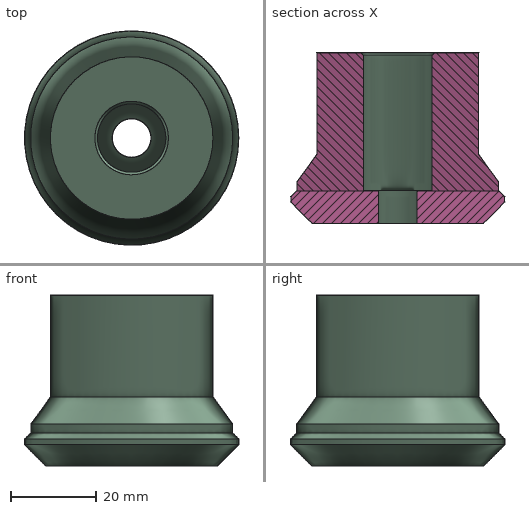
import cadquery as cq

total_height = 40.0
rim_bottom_z = 5.0
rim_top_z = 6.3
joint_z = 7.73
shoulder_z = 9.8
neck_z = 16.2

rim_diameter = 50.13
rim_radius = rim_diameter / 2
base_radius = rim_radius - rim_bottom_z
flange_radius = rim_radius - (joint_z - rim_top_z)
neck_radius = 19.0

bore_diameter = 16.0
bore_chamfer = 0.6
screw_hole_diameter = 9.0


def revolved(profile):
    """Turn a closed (radius, height) outline about the Z axis."""
    return cq.Workplane("XZ").polyline(profile).close().revolve(360, (0, 0, 0), (0, 1, 0))


def make_base_ring():
    """Double-bevelled disc that closes the bore and carries the screw hole."""
    hole_radius = screw_hole_diameter / 2
    return revolved([
        (hole_radius, 0),
        (base_radius, 0),
        (rim_radius, rim_bottom_z),
        (rim_radius, rim_top_z),
        (flange_radius, joint_z),
        (hole_radius, joint_z),
    ])


def make_sleeve():
    """Flared sleeve on the disc, with a bore chamfered at the top."""
    bore_radius = bore_diameter / 2
    return revolved([
        (bore_radius, joint_z),
        (flange_radius, joint_z),
        (flange_radius, shoulder_z),
        (neck_radius, neck_z),
        (neck_radius, total_height),
        (bore_radius + bore_chamfer, total_height),
        (bore_radius, total_height - bore_chamfer),
    ])


base_ring = make_base_ring()
sleeve = make_sleeve()

result = cq.Compound.makeCompound([base_ring.val(), sleeve.val()])